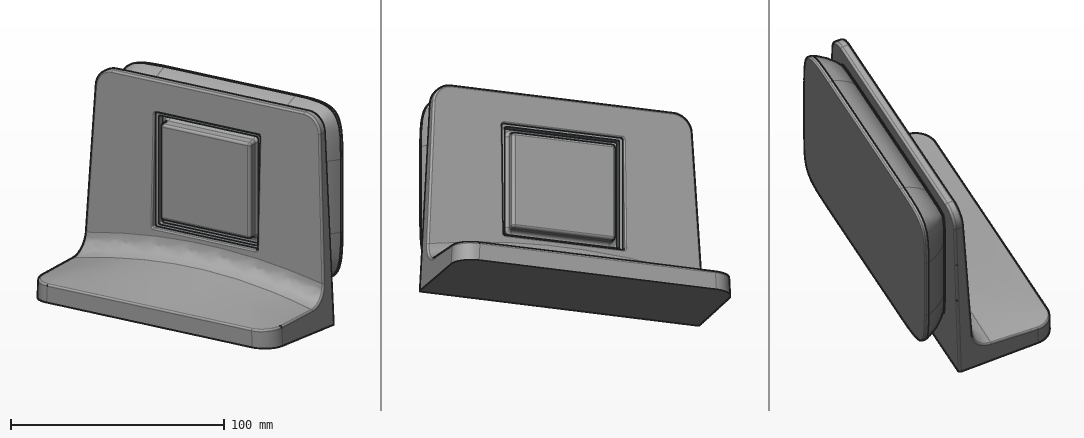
import cadquery as cq
import math

base_width = 140.3
stand_depth = 51.8
stand_height = 103.0
side_draft = 3.1
front_narrowing = 0.5
foot_corner_radius = 10.2
top_corner_radius = 9.5

upright_top_thickness = 4.8
upright_lean = 2.0

foot_front_height = 9.1
foot_rear_crest_height = 22.7
foot_rear_side_height = 11.5
foot_blank_half_width = 73.0
foot_to_upright_radius = 10.2

front_edge_radius = 1.0
rear_edge_radius = 1.1

window_centre_height = 59.0
window_width = 60.9
window_height = 56.4
window_corner_radius = 1.1
window_rim_radius = 0.7
ledge_y = -4.2
opening_width = 57.5
opening_height = 53.7
opening_corner_radius = 1.1

pod_width = 128.5
pod_height = 88.7
pod_depth = 15.0
pod_centre_height = 59.1
pod_corner_size = 26.4
pod_corner_fullness = 0.9
pod_rim_y = 12.9
pod_flank_end_y = 0.7
pod_front_inset = 8.7
pod_flank_bulge_inset = 3.1
pod_back_edge_radius = 0.7

plug_face_y = -0.8

pad_face_y = -6.9
pad_width = 51.9
pad_height = 47.1
pad_top_slope_rise = 1.1
pad_edge_radius = 1.4
pad_root_radius = 2.0


def block(width, height, front_y, rear_y, centre_height, corner_radius):
    """Upright rectangular block with rounded corners, spanning front_y to rear_y."""
    return (
        cq.Workplane("XZ", origin=(0, rear_y, centre_height))
        .rect(width, height)
        .extrude(rear_y - front_y)
        .edges("|Y")
        .fillet(corner_radius)
    )


def make_outline():
    """Drafted block bounding the stand, with rounded front corners."""
    top_inset = stand_height * math.tan(math.radians(side_draft))

    def footprint(inset):
        rear = base_width / 2 - inset
        front = rear - front_narrowing
        return [(-rear, 0), (rear, 0), (front, -stand_depth), (-front, -stand_depth)]

    return (
        cq.Workplane("XY")
        .polyline(footprint(0))
        .close()
        .workplane(offset=stand_height)
        .polyline(footprint(top_inset))
        .close()
        .loft(ruled=True)
        .faces("<Y")
        .edges("not |X")
        .fillet(foot_corner_radius)
    )


def upright_front_y(height):
    """Y of the upright's sloping front face at the given height."""
    return -upright_top_thickness - (stand_height - height) * math.tan(math.radians(upright_lean))


def make_upright():
    """Wedge with a vertical rear face, wider than the finished stand."""
    return (
        cq.Workplane("YZ")
        .lineTo(0, stand_height)
        .lineTo(upright_front_y(stand_height), stand_height)
        .lineTo(upright_front_y(0), 0)
        .close()
        .extrude(foot_blank_half_width, both=True)
    )


def make_foot():
    """Foot with a crowned top, wider than the finished stand."""
    half = foot_blank_half_width
    return (
        cq.Workplane("XZ")
        .moveTo(-half, 0)
        .lineTo(half, 0)
        .lineTo(half, foot_rear_side_height)
        .threePointArc((0, foot_rear_crest_height), (-half, foot_rear_side_height))
        .close()
        .workplane(offset=stand_depth)
        .moveTo(-half, 0)
        .lineTo(half, 0)
        .lineTo(half, foot_front_height)
        .lineTo(-half, foot_front_height)
        .close()
        .loft(ruled=True)
    )


def make_stand():
    """L-shaped stand with a stepped window through its upright."""
    inner_corner = cq.NearestToPointSelector(
        (0, upright_front_y(foot_rear_crest_height), foot_rear_crest_height)
    )
    stand = make_upright().union(make_foot())
    stand = stand.edges(inner_corner).fillet(foot_to_upright_radius)
    stand = stand.intersect(make_outline())
    stand = stand.faces(">Z").edges("not |X").fillet(top_corner_radius)

    stand = stand.faces(">Z").edges("<Y").fillet(front_edge_radius)
    stand = stand.faces(">Y").edges(">Z").fillet(rear_edge_radius)

    window = block(
        window_width, window_height, -stand_depth, ledge_y, window_centre_height, window_corner_radius
    )
    stand = stand.cut(window)
    window_top = window_centre_height + window_height / 2
    window_top_rim = cq.NearestToPointSelector((0, upright_front_y(window_top), window_top))
    stand = stand.edges(window_top_rim).fillet(window_rim_radius)
    opening = block(
        opening_width, opening_height, -stand_depth, 0, window_centre_height, opening_corner_radius
    )
    return stand.cut(opening)


def pod_outline():
    """Closed rim outline of the pod on the plane Y = 0, with squarish free-form corners."""
    half_width = pod_width / 2
    half_height = pod_height / 2
    straight_x = half_width - pod_corner_size
    straight_z = half_height - pod_corner_size
    handle_x = straight_x + pod_corner_size * pod_corner_fullness
    handle_z = straight_z + pod_corner_size * pod_corner_fullness
    outline = cq.Workplane("XZ", origin=(0, 0, pod_centre_height)).moveTo(half_width, -straight_z)
    for sign_x, sign_z in [(1, 1), (-1, 1), (-1, -1), (1, -1)]:
        on_side = [(sign_x * half_width, sign_z * z) for z in (straight_z, handle_z)]
        on_end = [(sign_x * x, sign_z * half_height) for x in (handle_x, straight_x)]
        corner = on_side + on_end
        if sign_x != sign_z:
            corner.reverse()
        outline = outline.lineTo(*corner[0]).bezier(corner[1:], includeCurrent=True)
    return outline.close()


def make_pod_body():
    """Pillow with a flat front and back; its flank section is carried round the rim outline."""
    half_height = pod_height / 2
    front_edge = half_height - pod_front_inset
    flank_middle = ((pod_rim_y + pod_flank_end_y) / 2, half_height - pod_flank_bulge_inset)
    flank_waste = (
        cq.Workplane("YZ", origin=(0, 0, pod_centre_height))
        .moveTo(pod_rim_y, half_height)
        .threePointArc(flank_middle, (pod_flank_end_y, front_edge))
        .lineTo(0, front_edge)
        .lineTo(0, half_height)
        .close()
        .sweep(pod_outline())
    )
    body = pod_outline().extrude(-pod_depth).cut(flank_waste)
    return body.faces(">Y").edges().fillet(pod_back_edge_radius)


def make_pad():
    """Pad with a slightly sloping top and all edges rounded but those at its root."""
    half_height = pad_height / 2
    return (
        cq.Workplane("YZ", origin=(0, 0, window_centre_height))
        .polyline(
            [
                (plug_face_y, -half_height),
                (plug_face_y, half_height + pad_top_slope_rise),
                (pad_face_y, half_height),
                (pad_face_y, -half_height),
            ]
        )
        .close()
        .extrude(pad_width / 2, both=True)
        .edges("not >Y")
        .fillet(pad_edge_radius)
    )


def make_pod():
    """Pod body with its plug and pad, as one solid."""
    plug = block(opening_width, opening_height, plug_face_y, 0, window_centre_height, opening_corner_radius)
    front = plug.union(make_pad())

    plug_face = front.faces("|Y").faces(">Y[-2]").val()
    pad_root = plug_face.innerWires()[0].Edges()
    front = front.newObject(pad_root).fillet(pad_root_radius)
    return make_pod_body().union(front)


stand = make_stand()
pod = make_pod()

result = cq.Compound.makeCompound([stand.solids().val(), pod.solids().val()])